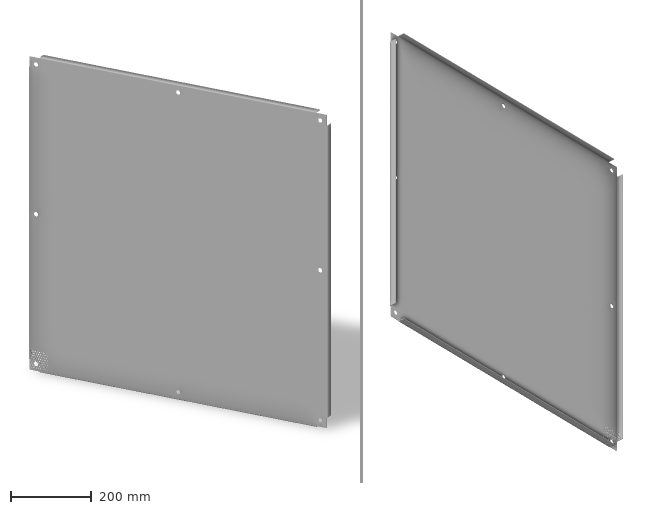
import cadquery as cq
import math

side = 838.0
depth = 19.0
thickness = 1.5

bend_radius = 2.7
flange_length = 776.0
tab_side = side - 2 * bend_radius

mount_diameter = 12.0
mount_offset = 398.0

perforation_diameter = 3.0
perforation_pitch = 6.2
face_columns = 8
face_rows = 8
face_start_x = -413.0
face_start_z = -409.0

flange_columns = 3
flange_rows = 4
flange_start_y = 4.0
flange_start_z = face_start_z + (face_rows - flange_rows) * perforation_pitch

cutter_length = 4 * thickness


def bent_flange(angle):
    """Return the left flange with its rounded bend, turned about Y by the given angle."""
    left = -side / 2
    root = left + bend_radius
    inner_left = left + thickness
    inner_radius = bend_radius - thickness
    diagonal = math.sqrt(0.5)
    outer_middle = (root - bend_radius * diagonal, bend_radius * (1 - diagonal))
    inner_middle = (root - inner_radius * diagonal, bend_radius - inner_radius * diagonal)
    flange = (
        cq.Workplane("XY")
        .moveTo(root, 0)
        .threePointArc(outer_middle, (left, bend_radius))
        .lineTo(left, depth)
        .lineTo(inner_left, depth)
        .lineTo(inner_left, bend_radius)
        .threePointArc(inner_middle, (root, thickness))
        .close()
        .extrude(flange_length / 2, both=True)
    )
    return flange.rotate((0, 0, 0), (0, 1, 0), angle)


def staggered_points(start_across, start_z, columns, shifted_columns, rows):
    """Return rows of points, every second row, from the lowest on, moved by half a pitch."""
    points = []
    for row in range(rows):
        is_shifted = row % 2 == 0
        shift = perforation_pitch / 2 if is_shifted else 0
        for column in range(shifted_columns if is_shifted else columns):
            across = start_across + shift + column * perforation_pitch
            points.append((across, start_z + row * perforation_pitch))
    return points


def face_cutters(points, diameter):
    """Return cylinders along Y through the flat sheet at (x, z) points."""
    plane = cq.Workplane("XZ", origin=(0, thickness / 2, 0))
    return plane.pushPoints(points).circle(diameter / 2).extrude(cutter_length / 2, both=True)


def flange_cutters(points, diameter):
    """Return cylinders along X through the left flange at (y, z) points."""
    plane = cq.Workplane("YZ", origin=((thickness - side) / 2, 0, 0))
    return plane.pushPoints(points).circle(diameter / 2).extrude(cutter_length / 2, both=True)


sheet = cq.Workplane("XY").box(tab_side, thickness, tab_side).translate((0, thickness / 2, 0))
for turn in (0, 90, 180, 270):
    sheet = sheet.union(bent_flange(turn))

offsets = (-mount_offset, 0, mount_offset)
mount_points = [(x, z) for x in offsets for z in offsets if (x, z) != (0, 0)]
sheet = sheet.cut(face_cutters(mount_points, mount_diameter))

face_points = staggered_points(face_start_x, face_start_z, face_columns, face_columns, face_rows)
sheet = sheet.cut(face_cutters(face_points, perforation_diameter))
flange_points = staggered_points(
    flange_start_y, flange_start_z, flange_columns, flange_columns - 1, flange_rows
)
sheet = sheet.cut(flange_cutters(flange_points, perforation_diameter))

result = sheet